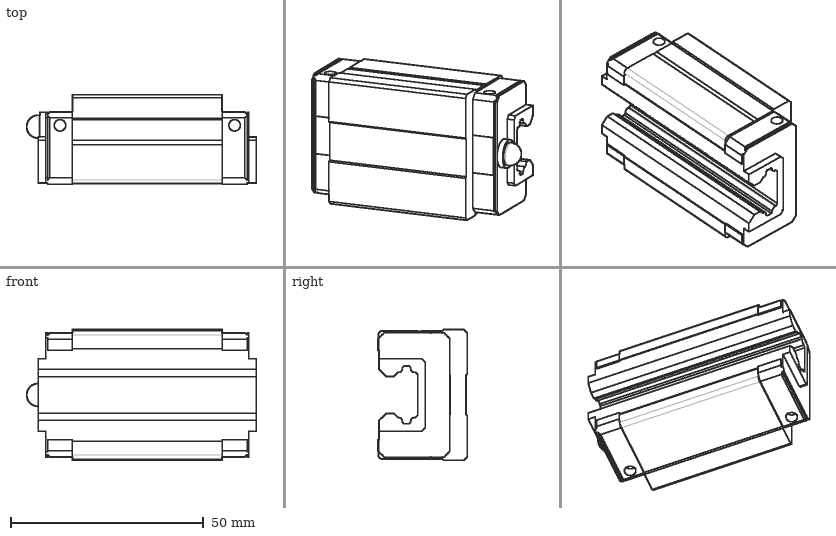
import cadquery as cq
import math


TOTAL_LENGTH = 59.6
MOUNTING_Y = 23.3
BASE_Y = 0.35

BLOCK_LENGTH = 38.85
FLANGE_HALF_WIDTH = 17.0
BLOCK_HALF_WIDTH = 16.6
FLANGE_DEPTH = 6.15
FLANGE_CHAMFER = 0.9
BLOCK_BOTTOM_Y = 0.2
BLOCK_FOOT_INNER_Z = 12.0
BLOCK_CORNER_RADIUS = 1.1
RELIEF_DEPTH = 0.35
RELIEF_HALF_WIDTH = 5.05
MARK_GROOVE_Y = 10.85
MARK_GROOVE_WIDTH = 1.25
MARK_GROOVE_DEPTH = 0.2

CAP_END_X = 25.85
PLATE_END_X = 26.35
CAP_HALF_WIDTH = 16.1
CAP_TOP_Y = 18.7
CAP_TOP_CHAMFER = 1.45
CAP_BOTTOM_CHAMFER = 1.65
CAP_END_CHAMFER = 0.55
CAP_FOOT_INNER_Z = 11.6
RIDGE_HEIGHT = 0.2
SIDE_HOLE_DIAMETER = 3.0
SIDE_HOLE_X = 22.65
SIDE_HOLE_Y = 15.3
SIDE_HOLE_DEPTH = 3.0

COLLAR_DIAMETER = 7.5
COLLAR_THICKNESS = 1.55
NIPPLE_Y = CAP_TOP_Y - COLLAR_DIAMETER / 2
DOME_DIAMETER = 6.0
DOME_RADIUS = DOME_DIAMETER / 2

LINER_END_X = (TOTAL_LENGTH - DOME_RADIUS) / 2
LINER_TOP_Y = 12.35
LINER_HALF_WIDTH = 9.4
LINER_CHAMFER = 0.9

CHANNEL_ROOF_Y = 10.4
ROOF_CHAMFER = 0.55
LAND_HALF_WIDTH = 5.85
RACEWAY_Y = 7.5
RACEWAY_FLOOR_Z = 7.45
RACEWAY_FLOOR_HALF = 0.7
RACEWAY_WALL_HALF = 1.1
RACEWAY_WALL_Z = 7.0
RACEWAY_LIP_RADIUS = 0.95
RIB_HALF_GAP = 4.75
RIB_UPPER_Y = 4.25
RIB_LOWER_Y = 2.25
RIB_ROOT_Z = 6.6


def prism(half_outline, start_x, end_x):
    """Extrude along X the closed section made of a half outline and its mirror image in Z."""
    return half_outline.mirrorX().extrude(end_x - start_x).translate((start_x, 0, 0))


def section(half_points):
    return cq.Workplane("YZ").polyline(half_points)


def make_block():
    half = BLOCK_LENGTH / 2
    flange_step = FLANGE_HALF_WIDTH - BLOCK_HALF_WIDTH
    flange_y = MOUNTING_Y - FLANGE_DEPTH
    relief_y = MOUNTING_Y - RELIEF_DEPTH
    corner_shift = BLOCK_CORNER_RADIUS * (1 - math.sqrt(0.5))
    outline = (
        section([
            (relief_y, 0),
            (relief_y, RELIEF_HALF_WIDTH),
            (MOUNTING_Y, RELIEF_HALF_WIDTH + RELIEF_DEPTH),
            (MOUNTING_Y, FLANGE_HALF_WIDTH - FLANGE_CHAMFER),
            (MOUNTING_Y - FLANGE_CHAMFER, FLANGE_HALF_WIDTH),
            (flange_y, FLANGE_HALF_WIDTH),
            (flange_y - flange_step, BLOCK_HALF_WIDTH),
            (BLOCK_BOTTOM_Y + BLOCK_CORNER_RADIUS, BLOCK_HALF_WIDTH),
        ])
        .threePointArc(
            (BLOCK_BOTTOM_Y + corner_shift, BLOCK_HALF_WIDTH - corner_shift),
            (BLOCK_BOTTOM_Y, BLOCK_HALF_WIDTH - BLOCK_CORNER_RADIUS),
        )
        .lineTo(BLOCK_BOTTOM_Y, BLOCK_FOOT_INNER_Z)
        .lineTo(BASE_Y, BLOCK_FOOT_INNER_Z)
        .lineTo(BASE_Y, 0)
    )
    block = prism(outline, -half, half)

    half_groove = MARK_GROOVE_WIDTH / 2
    radius = (half_groove**2 + MARK_GROOVE_DEPTH**2) / (2 * MARK_GROOVE_DEPTH)
    groove = (
        cq.Workplane("YZ")
        .center(MARK_GROOVE_Y, BLOCK_HALF_WIDTH - MARK_GROOVE_DEPTH + radius)
        .circle(radius)
        .extrude(half, both=True)
    )
    return block.cut(groove)


def make_caps():
    """Both end caps, as one prism through the block, with chamfered outer ends."""
    outline = section([
        (CAP_TOP_Y, 0),
        (CAP_TOP_Y, CAP_HALF_WIDTH - CAP_TOP_CHAMFER),
        (CAP_TOP_Y - CAP_TOP_CHAMFER, CAP_HALF_WIDTH),
        (CAP_BOTTOM_CHAMFER, CAP_HALF_WIDTH),
        (0, CAP_HALF_WIDTH - CAP_BOTTOM_CHAMFER),
        (0, CAP_FOOT_INNER_Z),
        (BASE_Y, CAP_FOOT_INNER_Z),
        (BASE_Y, 0),
    ])
    caps = prism(outline, -CAP_END_X, CAP_END_X)

    bevelled = (
        cq.Workplane("XY")
        .box(2 * CAP_END_X, CAP_TOP_Y, 2 * CAP_HALF_WIDTH, centered=(True, False, True))
        .edges("(|Z and >Y) or |Y")
        .chamfer(CAP_END_CHAMFER)
    )
    caps = caps.intersect(bevelled)

    ridge = cq.Workplane("XY").box(
        2 * (CAP_END_X - CAP_END_CHAMFER), RIDGE_HEIGHT, 2 * RELIEF_HALF_WIDTH,
        centered=(True, False, True),
    ).translate((0, CAP_TOP_Y, 0))
    caps = caps.union(ridge)

    block_space = cq.Workplane("XY").box(BLOCK_LENGTH, 2 * MOUNTING_Y, 2 * FLANGE_HALF_WIDTH)
    return caps.cut(block_space)


def make_plates():
    """The thin plates that close the outer ends of the caps."""
    base_chamfer = CAP_BOTTOM_CHAMFER - BASE_Y
    outline_points = [
        (CAP_TOP_Y, 0),
        (CAP_TOP_Y, CAP_HALF_WIDTH - CAP_TOP_CHAMFER),
        (CAP_TOP_Y - CAP_TOP_CHAMFER, CAP_HALF_WIDTH),
        (CAP_BOTTOM_CHAMFER, CAP_HALF_WIDTH),
        (BASE_Y, CAP_HALF_WIDTH - base_chamfer),
        (BASE_Y, 0),
    ]
    left = prism(section(outline_points), -PLATE_END_X, -CAP_END_X)
    right = prism(section(outline_points), CAP_END_X, PLATE_END_X)
    return left, right


def make_liner():
    outline = section([
        (LINER_TOP_Y, 0),
        (LINER_TOP_Y, LINER_HALF_WIDTH - LINER_CHAMFER),
        (LINER_TOP_Y - LINER_CHAMFER, LINER_HALF_WIDTH),
        (BASE_Y, LINER_HALF_WIDTH),
        (BASE_Y, 0),
    ])
    return prism(outline, -LINER_END_X, LINER_END_X)


def make_channel():
    """The space for the rail, open toward -Y, with a raceway on each side."""
    mouth_half = RACEWAY_WALL_HALF + RACEWAY_LIP_RADIUS
    lip_end_z = LAND_HALF_WIDTH + RACEWAY_LIP_RADIUS
    lip_shift = RACEWAY_LIP_RADIUS * (1 - math.sqrt(0.5))
    lip_mid_half = RACEWAY_WALL_HALF + lip_shift
    lip_mid_z = LAND_HALF_WIDTH + lip_shift
    outline = (
        section([
            (CHANNEL_ROOF_Y, 0),
            (CHANNEL_ROOF_Y, LAND_HALF_WIDTH - ROOF_CHAMFER),
            (CHANNEL_ROOF_Y - ROOF_CHAMFER, LAND_HALF_WIDTH),
            (RACEWAY_Y + mouth_half, LAND_HALF_WIDTH),
        ])
        .threePointArc(
            (RACEWAY_Y + lip_mid_half, lip_mid_z),
            (RACEWAY_Y + RACEWAY_WALL_HALF, lip_end_z),
        )
        .lineTo(RACEWAY_Y + RACEWAY_WALL_HALF, RACEWAY_WALL_Z)
        .lineTo(RACEWAY_Y + RACEWAY_FLOOR_HALF, RACEWAY_FLOOR_Z)
        .lineTo(RACEWAY_Y - RACEWAY_FLOOR_HALF, RACEWAY_FLOOR_Z)
        .lineTo(RACEWAY_Y - RACEWAY_WALL_HALF, RACEWAY_WALL_Z)
        .lineTo(RACEWAY_Y - RACEWAY_WALL_HALF, lip_end_z)
        .threePointArc(
            (RACEWAY_Y - lip_mid_half, lip_mid_z),
            (RACEWAY_Y - mouth_half, LAND_HALF_WIDTH),
        )
        .lineTo(RIB_UPPER_Y + LAND_HALF_WIDTH - RIB_HALF_GAP, LAND_HALF_WIDTH)
        .lineTo(RIB_UPPER_Y, RIB_HALF_GAP)
        .lineTo(RIB_LOWER_Y, RIB_HALF_GAP)
        .lineTo(BASE_Y, RIB_ROOT_Z)
        .lineTo(0, RIB_ROOT_Z)
        .lineTo(0, 0)
    )
    return prism(outline, -LINER_END_X, LINER_END_X)


def make_side_holes():
    """Blind holes in the Z sides of both caps."""
    holes = cq.Workplane("XY")
    for x in (-SIDE_HOLE_X, SIDE_HOLE_X):
        for side in (-1, 1):
            hole = (
                cq.Workplane("XY", origin=(x, SIDE_HOLE_Y, side * CAP_HALF_WIDTH))
                .circle(SIDE_HOLE_DIAMETER / 2)
                .extrude(-side * SIDE_HOLE_DEPTH)
            )
            holes = holes.add(hole)
    return holes.combine()


def make_nipple_recess():
    """Round recess through the liner's left end, down to the end plate, that holds the collar."""
    return (
        cq.Workplane("YZ", origin=(-LINER_END_X, NIPPLE_Y, 0))
        .circle(COLLAR_DIAMETER / 2)
        .extrude(LINER_END_X - PLATE_END_X)
    )


def make_carriage():
    carriage = make_block().union(make_caps())
    for plate in make_plates():
        carriage = carriage.union(plate)
    carriage = carriage.union(make_liner())
    return (
        carriage.cut(make_channel())
        .cut(make_side_holes())
        .cut(make_nipple_recess())
    )


def make_nipple():
    """Collar seated on the left end plate, and a neck with a half-round dome, turned in one."""
    collar_radius = COLLAR_DIAMETER / 2
    neck_end = LINER_END_X - PLATE_END_X
    arc_shift = DOME_RADIUS * math.sqrt(0.5)
    seat = cq.Plane(origin=(-PLATE_END_X, NIPPLE_Y, 0), xDir=(-1, 0, 0), normal=(0, 0, -1))
    profile = (
        cq.Workplane(seat)
        .polyline([
            (0, 0),
            (0, collar_radius),
            (COLLAR_THICKNESS, collar_radius),
            (COLLAR_THICKNESS, DOME_RADIUS),
            (neck_end, DOME_RADIUS),
        ])
        .threePointArc((neck_end + arc_shift, arc_shift), (neck_end + DOME_RADIUS, 0))
        .close()
    )
    return profile.revolve(360, (0, 0), (1, 0))


carriage = make_carriage().solids()
nipple = make_nipple()
result = cq.Compound.makeCompound([carriage.val(), nipple.val()])